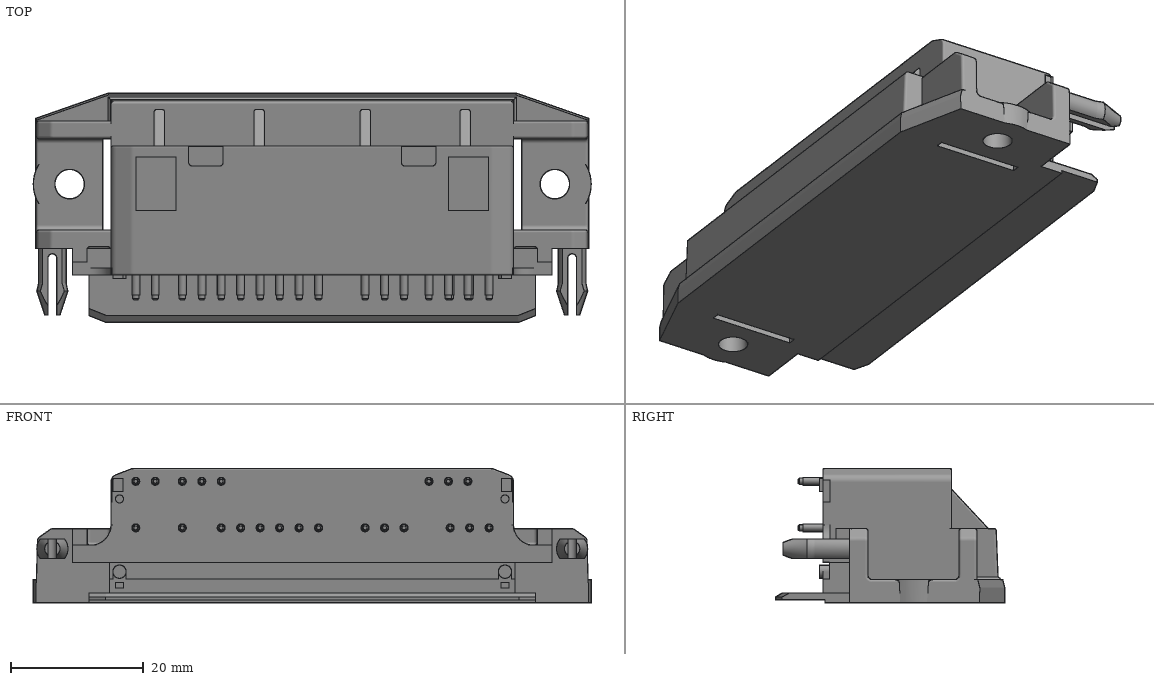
import cadquery as cq


SELECT_MARGIN = 0.2
SELECT_REACH = 1.0

BASE_HALF_WIDTH = 41.6
BASE_BACK_Y = 27.4
BASE_CORNER_HALF_WIDTH = 30.7
BASE_SIDE_BACK_Y = 23.6
BASE_HEIGHT = 3.5
EAR_FRONT_Y = 4.0
EAR_REAR_WALL_BACK_Y = 23.2
EAR_TOP_Z = 11.2
EAR_DRAFT = 0.25
EAR_CORNER_WIDTH = 2.1
EAR_CORNER_HEIGHT = 1.5
EAR_CORNER_FILLET = 0.8
POCKET_FRONT_Y = 6.8
POCKET_BACK_Y = 20.5
POCKET_FLOOR_FILLET = 0.7
EAR_WALL_FILLET = 0.4
BASE_BACK_CHAMFER_DEPTH = 0.3
BASE_BACK_CHAMFER_HEIGHT = 1.2
EAR_SLOT_OUTER_X = 31.5
EAR_HOLE_X = 36.5
EAR_HOLE_Y = 13.7
EAR_HOLE_DIAMETER = 4.4
EAR_BUMP_RADIUS = 5.48

SHELL_HALF_WIDTH = 30.3
SHELL_TOP_Z = 20.23
SHELL_BACK_Y = 19.4
SHELL_SHOULDER_Z = 19.0
SHELL_SHOULDER_FILLET = 1.25
SHELL_FLAT_HALF_WIDTH = 27.1
SHELL_CREST_FILLET = 1.2
SHELL_RIM_FILLET = 0.25

REAR_BLOCK_HALF_WIDTH = SHELL_HALF_WIDTH
REAR_BLOCK_BOTTOM_BACK_Y = 26.4
REAR_BLOCK_TOP_BACK_Y = 26.1
REAR_BLOCK_EDGE_FILLET = 0.4
REAR_BLOCK_ROOT_CHAMFER = 0.4
ROOT_STEP = 0.05
RIB_XS = (-23.0, -8.0, 8.0, 23.0)
RIB_WIDTH = 1.6
RIB_BACK_Y = 24.9
RIB_TOP_Z = 17.1
RIB_EDGE_FILLET = 0.3

FOOT_HALF_WIDTH = 36.1
FOOT_BOTTOM_Z = 6.1
FOOT_TOP_Z = 8.7
FOOT_DEPTH = 2.0
FLARE_RADIUS = 3.0
FLARE_THICKNESS = 1.1
FOOT_BLOCK_INNER_X = 33.9
FOOT_RECESS_BACK_Y = 4.35
FOOT_RECESS_FILLET = 0.6
FOOT_RECESS_FLOOR_FILLET = 0.4

LOWER_WALL_HALF_WIDTH = 30.5
LOWER_WALL_Y = 1.0
LEDGE_TOP_Z = 3.6

TONGUE_HALF_WIDTH = 33.6
TONGUE_FRONT_Y = -7.1
TONGUE_BOTTOM_Z = 0.45
TONGUE_TOP_Z = 1.5
TONGUE_CORNER_WIDTH = 2.5
TONGUE_CORNER_LENGTH = 1.0
TONGUE_BEVEL_LENGTH = 1.0
TONGUE_BEVEL_HEIGHT = 0.6
TONGUE_PAD_FRONT_Y = 0.3

PEG_X = 29.0
PEG_FRONT_Y = -0.5
LOWER_PEG_Z = 4.7
LOWER_PEG_DIAMETER = 2.0
UPPER_PEG_X = 29.2
UPPER_PEG_Z = 17.75
UPPER_PEG_WIDTH = 1.5
UPPER_PEG_HEIGHT = 2.0
DIMPLE_DIAMETER = 1.2
DIMPLE_DEPTH = 0.5
UPPER_DIMPLE_Z = 15.65
LOWER_DIMPLE_Z = 2.65
LOWER_DIMPLE_HEIGHT = 0.8
SIDE_RELIEF_DEPTH = 0.15
SIDE_RELIEF_LENGTH = 1.1
SIDE_RELIEF_BOTTOM_Z = 15.2
SIDE_RELIEF_TOP_Z = 18.5

MARK_DEPTH = 0.15
PANEL_INNER_X = 20.5
PANEL_OUTER_X = 26.5
PANEL_FRONT_Y = 9.7
PANEL_BACK_Y = 17.8
TAB_INNER_X = 13.4
TAB_OUTER_X = 18.6
TAB_FRONT_Y = 16.4
TAB_CORNER_RADIUS = 0.6

PIN_PITCH = 2.93
PIN_DIAMETER = 1.2
PIN_TIP_DIAMETER = 1.0
PIN_SHOULDER_Y = -3.0
PIN_END_Y = -3.7
PIN_TIP_CHAMFER = 0.2
UPPER_PIN_Z = 18.3
LOWER_PIN_Z = 11.3
UPPER_PIN_GROUPS = ((-26.55, 2), (-19.55, 3), (17.55, 3))
LOWER_PIN_GROUPS = ((-26.55, 1), (-19.55, 1), (-13.7, 6), (7.95, 3), (20.75, 3))

LOCK_X = 39.1
LOCK_Z = 8.15
LOCK_RADIUS = 2.1
LOCK_BARB_RADIUS = 2.35
LOCK_TIP_RADIUS = 1.15
LOCK_HEIGHT = 3.0
LOCK_NECK_Y = -1.2
LOCK_BARB_Y = -2.4
LOCK_TIP_Y = -6.0
LOCK_SLOT_WIDTH = 1.3
LOCK_SLOT_END_Y = 3.2


def block(x0, x1, y0, y1, z0, z1):
    """Axis-aligned box between opposite corners."""
    return cq.Workplane("XY").box(x1 - x0, y1 - y0, z1 - z0, centered=False).translate((x0, y0, z0))


def wide_block(half_width, y0, y1, z0, z1):
    """Box centred on X = 0."""
    return block(-half_width, half_width, y0, y1, z0, z1)


def front_workplane(y):
    """XZ plane at the given Y; positive extrusion runs towards the front."""
    return cq.Workplane("XZ", origin=(0, y, 0))


def both_sides(right_half):
    """A +X feature together with its mirror image."""
    return right_half.union(right_half.mirror("YZ"))


def make_base():
    plan = (
        cq.Workplane("XY")
        .moveTo(-BASE_HALF_WIDTH, EAR_FRONT_Y)
        .lineTo(BASE_HALF_WIDTH, EAR_FRONT_Y)
        .lineTo(BASE_HALF_WIDTH, BASE_SIDE_BACK_Y)
        .lineTo(BASE_CORNER_HALF_WIDTH, BASE_BACK_Y)
        .lineTo(-BASE_CORNER_HALF_WIDTH, BASE_BACK_Y)
        .lineTo(-BASE_HALF_WIDTH, BASE_SIDE_BACK_Y)
        .close()
        .extrude(EAR_TOP_Z)
    )
    top_half_width = BASE_HALF_WIDTH - EAR_DRAFT
    corner_half_width = top_half_width - EAR_CORNER_WIDTH
    corner_z = EAR_TOP_Z - EAR_CORNER_HEIGHT
    profile = (
        front_workplane(BASE_BACK_Y)
        .polyline([
            (-BASE_HALF_WIDTH, 0), (BASE_HALF_WIDTH, 0),
            (top_half_width, corner_z), (corner_half_width, EAR_TOP_Z),
            (-corner_half_width, EAR_TOP_Z), (-top_half_width, corner_z),
        ])
        .close()
        .extrude(BASE_BACK_Y)
        .edges("|Y and (not <Z)")
        .fillet(EAR_CORNER_FILLET)
    )
    above_back = wide_block(
        BASE_HALF_WIDTH, EAR_REAR_WALL_BACK_Y, BASE_BACK_Y, BASE_HEIGHT, EAR_TOP_Z
    )
    pockets = (
        wide_block(BASE_HALF_WIDTH, POCKET_FRONT_Y, POCKET_BACK_Y, BASE_HEIGHT, EAR_TOP_Z)
        .edges("|X and <Z")
        .fillet(POCKET_FLOOR_FILLET)
    )
    base = plan.intersect(profile).cut(above_back).cut(pockets)
    back_edges = base.edges(
        cq.selectors.BoxSelector(
            (-BASE_HALF_WIDTH, EAR_REAR_WALL_BACK_Y + SELECT_REACH, BASE_HEIGHT - SELECT_MARGIN),
            (BASE_HALF_WIDTH, BASE_BACK_Y + SELECT_REACH, BASE_HEIGHT + SELECT_MARGIN),
        )
    )
    base = back_edges.chamfer(BASE_BACK_CHAMFER_HEIGHT, BASE_BACK_CHAMFER_DEPTH)
    for wall_y in (POCKET_FRONT_Y, EAR_REAR_WALL_BACK_Y):
        wall_edges = base.edges(
            cq.selectors.BoxSelector(
                (-BASE_HALF_WIDTH, wall_y - SELECT_MARGIN, BASE_HEIGHT + SELECT_REACH),
                (BASE_HALF_WIDTH, wall_y + SELECT_MARGIN, EAR_TOP_Z + SELECT_REACH),
            )
        )
        base = wall_edges.fillet(EAR_WALL_FILLET)
    return base


def make_shell():
    shell = (
        front_workplane(SHELL_BACK_Y)
        .polyline([
            (-SHELL_HALF_WIDTH, 0), (SHELL_HALF_WIDTH, 0),
            (SHELL_HALF_WIDTH, SHELL_SHOULDER_Z), (SHELL_FLAT_HALF_WIDTH, SHELL_TOP_Z),
            (-SHELL_FLAT_HALF_WIDTH, SHELL_TOP_Z), (-SHELL_HALF_WIDTH, SHELL_SHOULDER_Z),
        ])
        .close()
        .extrude(SHELL_BACK_Y)
        .faces(">Z")
        .edges("|Y")
        .fillet(SHELL_CREST_FILLET)
    )
    shoulder_edges = shell.edges("|Y").edges(
        cq.selectors.BoxSelector(
            (-SHELL_HALF_WIDTH - SELECT_REACH, 0, SHELL_SHOULDER_Z - SELECT_MARGIN),
            (SHELL_HALF_WIDTH + SELECT_REACH, SHELL_BACK_Y, SHELL_SHOULDER_Z + SELECT_MARGIN),
        )
    )
    shell = shoulder_edges.fillet(SHELL_SHOULDER_FILLET)
    shell = shell.edges(">Z and |X").fillet(SHELL_RIM_FILLET)
    lower_wall_cut = wide_block(SHELL_HALF_WIDTH, 0, LOWER_WALL_Y, 0, FOOT_BOTTOM_Z)
    return shell.cut(lower_wall_cut)


def make_rear_block():
    body = (
        cq.Workplane("YZ", origin=(-REAR_BLOCK_HALF_WIDTH, 0, 0))
        .polyline([
            (LOWER_WALL_Y, 0), (REAR_BLOCK_BOTTOM_BACK_Y, 0), (REAR_BLOCK_BOTTOM_BACK_Y, BASE_HEIGHT),
            (REAR_BLOCK_TOP_BACK_Y, EAR_TOP_Z), (LOWER_WALL_Y, EAR_TOP_Z),
        ])
        .close()
        .extrude(2 * REAR_BLOCK_HALF_WIDTH)
    )
    back_edges = body.edges(
        cq.selectors.BoxSelector(
            (
                -REAR_BLOCK_HALF_WIDTH - SELECT_REACH,
                REAR_BLOCK_TOP_BACK_Y - SELECT_MARGIN,
                BASE_HEIGHT + SELECT_REACH,
            ),
            (REAR_BLOCK_HALF_WIDTH + SELECT_REACH, BASE_BACK_Y, EAR_TOP_Z + SELECT_MARGIN),
        )
    )
    body = back_edges.fillet(REAR_BLOCK_EDGE_FILLET)
    root_half_width = REAR_BLOCK_HALF_WIDTH + REAR_BLOCK_ROOT_CHAMFER
    root_back_y = REAR_BLOCK_BOTTOM_BACK_Y + REAR_BLOCK_ROOT_CHAMFER
    root = (
        wide_block(
            root_half_width, POCKET_BACK_Y + EAR_WALL_FILLET, root_back_y,
            BASE_HEIGHT, BASE_HEIGHT + REAR_BLOCK_ROOT_CHAMFER,
        )
        .faces(">Z")
        .edges("<X or >X or >Y")
        .chamfer(REAR_BLOCK_ROOT_CHAMFER - ROOT_STEP)
    )
    body = body.union(root)
    for x in RIB_XS:
        rib = (
            cq.Workplane("YZ", origin=(x - RIB_WIDTH / 2, 0, 0))
            .polyline([(SHELL_BACK_Y, EAR_TOP_Z), (RIB_BACK_Y, EAR_TOP_Z), (SHELL_BACK_Y, RIB_TOP_Z)])
            .close()
            .extrude(RIB_WIDTH)
            .faces(">(0, 1, 1)")
            .edges("not |X")
            .fillet(RIB_EDGE_FILLET)
        )
        body = body.union(rib)
    return body


def make_front_plate():
    plate = wide_block(FOOT_HALF_WIDTH, 0, EAR_FRONT_Y, FOOT_BOTTOM_Z, FOOT_TOP_Z)
    flare = (
        front_workplane(FLARE_THICKNESS)
        .moveTo(SHELL_HALF_WIDTH - SHELL_RIM_FILLET, FOOT_TOP_Z)
        .lineTo(SHELL_HALF_WIDTH + FLARE_RADIUS, FOOT_TOP_Z)
        .radiusArc((SHELL_HALF_WIDTH, FOOT_TOP_Z + FLARE_RADIUS), FLARE_RADIUS)
        .lineTo(SHELL_HALF_WIDTH - SHELL_RIM_FILLET, FOOT_TOP_Z + FLARE_RADIUS)
        .close()
        .extrude(FLARE_THICKNESS)
    )
    foot_block = block(
        FOOT_BLOCK_INNER_X, FOOT_HALF_WIDTH, FOOT_DEPTH, EAR_FRONT_Y, FOOT_TOP_Z, EAR_TOP_Z
    )
    ledge = wide_block(LOWER_WALL_HALF_WIDTH, 0, EAR_FRONT_Y, TONGUE_TOP_Z, LEDGE_TOP_Z)
    lower_wall = wide_block(
        LOWER_WALL_HALF_WIDTH, LOWER_WALL_Y, EAR_FRONT_Y, LEDGE_TOP_Z, FOOT_BOTTOM_Z
    )
    return (
        plate
        .union(both_sides(flare.union(foot_block)))
        .union(ledge)
        .union(lower_wall)
    )


def make_tongue():
    corner_x = TONGUE_HALF_WIDTH - TONGUE_CORNER_WIDTH
    corner_y = TONGUE_FRONT_Y + TONGUE_CORNER_LENGTH
    outline = [
        (-TONGUE_HALF_WIDTH, EAR_FRONT_Y), (-TONGUE_HALF_WIDTH, corner_y), (-corner_x, TONGUE_FRONT_Y),
        (corner_x, TONGUE_FRONT_Y), (TONGUE_HALF_WIDTH, corner_y), (TONGUE_HALF_WIDTH, EAR_FRONT_Y),
    ]
    tongue = (
        cq.Workplane("XY", origin=(0, 0, TONGUE_BOTTOM_Z))
        .polyline(outline)
        .close()
        .extrude(TONGUE_TOP_Z - TONGUE_BOTTOM_Z)
    )
    leading_edges = tongue.faces(">Z").edges(
        cq.selectors.BoxSelector(
            (-TONGUE_HALF_WIDTH, TONGUE_FRONT_Y - SELECT_REACH, 0),
            (TONGUE_HALF_WIDTH, corner_y - TONGUE_CORNER_LENGTH / 4, TONGUE_TOP_Z + SELECT_REACH),
        )
    )
    tongue = leading_edges.chamfer(TONGUE_BEVEL_HEIGHT, TONGUE_BEVEL_LENGTH)
    pad = wide_block(TONGUE_HALF_WIDTH, TONGUE_PAD_FRONT_Y, EAR_FRONT_Y, 0, TONGUE_BOTTOM_Z)
    return tongue.union(pad)


def make_pegs():
    radius = LOWER_PEG_DIAMETER / 2
    peg_length = LOWER_WALL_Y - PEG_FRONT_Y
    lower = front_workplane(LOWER_WALL_Y).center(PEG_X, LOWER_PEG_Z).circle(radius).extrude(peg_length)
    support = block(PEG_X - radius, PEG_X + radius, 0, LOWER_WALL_Y, LEDGE_TOP_Z, LOWER_PEG_Z)
    upper = (
        front_workplane(0)
        .center(UPPER_PEG_X, UPPER_PEG_Z)
        .rect(UPPER_PEG_WIDTH, UPPER_PEG_HEIGHT)
        .extrude(-PEG_FRONT_Y)
    )
    return both_sides(lower.union(support).union(upper))


def make_pins():
    pin = (
        front_workplane(0)
        .circle(PIN_DIAMETER / 2)
        .extrude(-PIN_SHOULDER_Y)
        .faces("<Y")
        .workplane()
        .circle(PIN_TIP_DIAMETER / 2)
        .extrude(PIN_SHOULDER_Y - PIN_END_Y)
        .faces("<Y")
        .chamfer(PIN_TIP_CHAMFER)
    )
    pins = cq.Workplane("XY")
    for z, groups in ((UPPER_PIN_Z, UPPER_PIN_GROUPS), (LOWER_PIN_Z, LOWER_PIN_GROUPS)):
        for first_x, count in groups:
            for i in range(count):
                pins.add(pin.translate((first_x + i * PIN_PITCH, 0, z)))
    return pins.combine()


def make_locks():
    lock = (
        cq.Workplane("XY")
        .polyline([
            (0, EAR_FRONT_Y), (LOCK_RADIUS, EAR_FRONT_Y), (LOCK_RADIUS, LOCK_NECK_Y),
            (LOCK_BARB_RADIUS, LOCK_BARB_Y), (LOCK_TIP_RADIUS, LOCK_TIP_Y), (0, LOCK_TIP_Y),
        ])
        .close()
        .revolve(360, (0, 0, 0), (0, 1, 0))
    )
    half_height = LOCK_HEIGHT / 2
    lock = lock.intersect(
        wide_block(LOCK_BARB_RADIUS, LOCK_TIP_Y, EAR_FRONT_Y, -half_height, half_height)
    )
    half_slot = LOCK_SLOT_WIDTH / 2
    slot_center_y = LOCK_SLOT_END_Y - half_slot
    slot = wide_block(half_slot, LOCK_TIP_Y, slot_center_y, -half_height, half_height)
    slot_end = cq.Workplane("XY").circle(half_slot).extrude(half_height, both=True)
    lock = lock.cut(slot).cut(slot_end.translate((0, slot_center_y, 0)))
    return both_sides(lock.translate((LOCK_X, 0, LOCK_Z)))


def make_ear_bumps():
    bump = cq.Workplane("XY").center(EAR_HOLE_X, EAR_HOLE_Y).circle(EAR_BUMP_RADIUS).extrude(BASE_HEIGHT)
    keep = block(EAR_HOLE_X, EAR_HOLE_X + EAR_BUMP_RADIUS, POCKET_FRONT_Y, POCKET_BACK_Y, 0, BASE_HEIGHT)
    return both_sides(bump.intersect(keep))


def make_ear_openings():
    hole = (
        cq.Workplane("XY")
        .center(EAR_HOLE_X, EAR_HOLE_Y)
        .circle(EAR_HOLE_DIAMETER / 2)
        .extrude(BASE_HEIGHT)
    )
    slot = block(SHELL_HALF_WIDTH, EAR_SLOT_OUTER_X, POCKET_FRONT_Y, POCKET_BACK_Y, 0, EAR_TOP_Z)
    return both_sides(hole.union(slot))


def make_foot_recesses():
    recess = (
        block(
            SHELL_HALF_WIDTH, FOOT_BLOCK_INNER_X, FOOT_DEPTH, FOOT_RECESS_BACK_Y,
            FOOT_TOP_Z, EAR_TOP_Z,
        )
        .edges("|Z and >Y")
        .fillet(FOOT_RECESS_FILLET)
        .faces("<Z")
        .edges("not <Y")
        .fillet(FOOT_RECESS_FLOOR_FILLET)
    )
    return both_sides(recess)


def make_top_marks():
    mark_z = SHELL_TOP_Z - MARK_DEPTH
    panel = block(PANEL_INNER_X, PANEL_OUTER_X, PANEL_FRONT_Y, PANEL_BACK_Y, mark_z, SHELL_TOP_Z)
    tab = (
        block(TAB_INNER_X, TAB_OUTER_X, TAB_FRONT_Y, SHELL_BACK_Y, mark_z, SHELL_TOP_Z)
        .edges("|Z and <Y")
        .fillet(TAB_CORNER_RADIUS)
    )
    return both_sides(panel.union(tab))


def make_front_recesses():
    upper = front_workplane(DIMPLE_DEPTH).center(PEG_X, UPPER_DIMPLE_Z).circle(DIMPLE_DIAMETER / 2)
    lower = front_workplane(DIMPLE_DEPTH).center(PEG_X, LOWER_DIMPLE_Z)
    lower = lower.rect(DIMPLE_DIAMETER, LOWER_DIMPLE_HEIGHT)
    relief = block(
        SHELL_HALF_WIDTH - SIDE_RELIEF_DEPTH, SHELL_HALF_WIDTH,
        0, SIDE_RELIEF_LENGTH, SIDE_RELIEF_BOTTOM_Z, SIDE_RELIEF_TOP_Z,
    )
    dimples = upper.extrude(DIMPLE_DEPTH).union(lower.extrude(DIMPLE_DEPTH))
    return both_sides(dimples.union(relief))


result = (
    make_base()
    .union(make_shell())
    .union(make_rear_block())
    .union(make_front_plate())
    .union(make_tongue())
    .union(make_ear_bumps())
    .cut(make_ear_openings())
    .cut(make_foot_recesses())
    .cut(make_top_marks())
    .cut(make_front_recesses())
    .union(make_pegs())
    .union(make_pins())
    .union(make_locks())
)